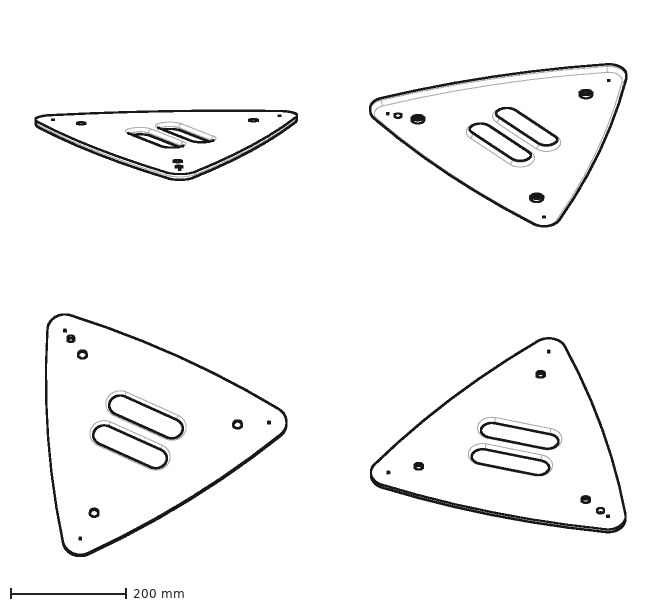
import cadquery as cq
import math

width = 455.8
thickness = 12.5
corner_radius = 30.5
side_distance = 157.0
bottom_fillet = 7.5
corner_angles = (90, 210, 330)

pin_circle_radius = (width / 2 - corner_radius) / math.cos(math.radians(30))
pin_diameter = 3.0

mount_circle_radius = 173.0
mount_diameter = 15.0
counterbore_diameter = 23.0
counterbore_depth = 7.0
extra_circle_radius = 209.0
extra_diameter = 12.5
extra_angle = 330

slot_straight = 100.0
slot_width = 38.0
slot_spacing = 63.0
slot_fillet = 6.0


def polar(radius, angle):
    """Point at a radius and an angle in degrees about the plate centre."""
    return radius * math.cos(math.radians(angle)), radius * math.sin(math.radians(angle))


def make_plate():
    """Plate whose side arcs run tangent into its corner arcs."""
    half_span = pin_circle_radius * math.sin(math.radians(60))
    span_distance = pin_circle_radius * math.cos(math.radians(60))
    rise = side_distance - span_distance
    side_radius = (half_span**2 + rise**2 - corner_radius**2) / (2 * (rise - corner_radius))

    side_half_angle = math.degrees(math.asin(half_span / (side_radius - corner_radius)))

    def side_end(corner_angle, turn):
        """Tangent point before (turn = -1) or after (turn = 1) a corner."""
        corner_x, corner_y = polar(pin_circle_radius, corner_angle)
        normal_angle = corner_angle + turn * (60 - side_half_angle)
        offset_x, offset_y = polar(corner_radius, normal_angle)
        return corner_x + offset_x, corner_y + offset_y

    outline = cq.Workplane("XY").moveTo(*side_end(corner_angles[0], -1))
    for angle in corner_angles:
        corner_tip = polar(pin_circle_radius + corner_radius, angle)
        side_middle = polar(side_distance, angle + 60)
        outline = outline.threePointArc(corner_tip, side_end(angle, 1))
        outline = outline.threePointArc(side_middle, side_end(angle + 120, -1))
    return outline.close().extrude(thickness).faces("<Z").edges().fillet(bottom_fillet)


def cut_slots(plate):
    """Cut both slots and round their upper and lower rims."""
    slots = (
        cq.Workplane("XY")
        .pushPoints([(0, -slot_spacing / 2), (0, slot_spacing / 2)])
        .slot2D(slot_straight + slot_width, slot_width)
        .extrude(thickness)
    )
    rim_edges = cq.selectors.BoxSelector(
        (-slot_straight, -slot_spacing, -thickness),
        (slot_straight, slot_spacing, thickness * 2),
    )
    return plate.cut(slots).faces("<Z or >Z").edges(rim_edges).fillet(slot_fillet)


def cut_holes(plate, points, diameter, depth=thickness):
    """Cut round holes up from the underside, right through unless a depth is given."""
    holes = cq.Workplane("XY").pushPoints(points).circle(diameter / 2).extrude(depth)
    return plate.cut(holes)


pin_points = [polar(pin_circle_radius, angle) for angle in corner_angles]
mount_points = [polar(mount_circle_radius, angle) for angle in corner_angles]
extra_point = polar(extra_circle_radius, extra_angle)

result = cut_slots(make_plate())
result = cut_holes(result, pin_points, pin_diameter)
result = cut_holes(result, mount_points, mount_diameter)
result = cut_holes(result, mount_points, counterbore_diameter, counterbore_depth)
result = cut_holes(result, [extra_point], extra_diameter)